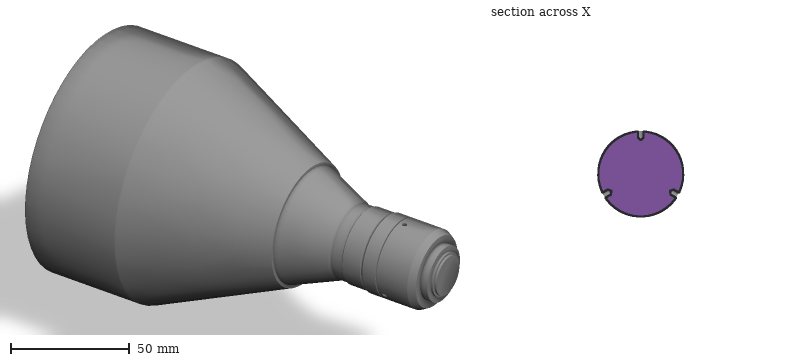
import cadquery as cq

length = 176.7

barrel_diameter = 110.0
barrel_radius = barrel_diameter / 2
barrel_end = 45.6
barrel_chamfer = 0.5
barrel_edge_length = 0.5
barrel_edge_drop = 0.2

step_x = 106.4
step_outer_radius = 28.0
step_inner_radius = 26.5
taper_end = 128.0
taper_end_radius = 17.7

neck_start = 129.0
neck_radius = 17.0
ring_start = 135.0
ring_end = 144.4
ring_radius = 17.5
ring_chamfer = 0.5
housing_start = 145.5
housing_radius = 18.0
housing_end = 171.0
housing_chamfer_length = 3.2
housing_chamfer_depth = 1.8
groove_center = 152.1
groove_width = 0.5
groove_depth = 1.0

flange_end = 174.5
flange_radius = 12.7
collar_end = 175.6
collar_radius = 10.0
tip_radius = 9.0

screw_x = 155.0
screw_diameter = 2.3
screw_depth = 2.7
screw_tip_depth = 1.0
screw_count = 3


def make_body():
    """Revolve the half profile about the X axis."""
    profile = [
        (0, 0),
        (0, barrel_radius - barrel_chamfer),
        (barrel_chamfer, barrel_radius),
        (barrel_end - barrel_edge_length, barrel_radius),
        (barrel_end, barrel_radius - barrel_edge_drop),
        (step_x, step_outer_radius),
        (step_x, step_inner_radius),
        (taper_end, taper_end_radius),
        (neck_start, neck_radius),
        (ring_start - ring_chamfer, neck_radius),
        (ring_start, ring_radius),
        (ring_end - ring_chamfer, ring_radius),
        (ring_end, ring_radius - ring_chamfer),
        (housing_start, housing_radius),
        (housing_end - housing_chamfer_length, housing_radius),
        (housing_end, housing_radius - housing_chamfer_depth),
        (housing_end, flange_radius),
        (flange_end, flange_radius),
        (flange_end, collar_radius),
        (collar_end, collar_radius),
        (collar_end, tip_radius),
        (length, tip_radius),
        (length, 0),
    ]
    return cq.Workplane("XZ").polyline(profile).close().revolve(360, (0, 0, 0), (1, 0, 0))


def make_groove():
    """Ring that cuts the narrow groove around the rear housing."""
    return (
        cq.Workplane("YZ", origin=(groove_center - groove_width / 2, 0, 0))
        .circle(housing_radius + groove_depth)
        .circle(housing_radius - groove_depth)
        .extrude(groove_width)
    )


def make_screw_hole(angle):
    """Blind radial hole with a cone-shaped bottom, turned by angle from +Z."""
    screw_radius = screw_diameter / 2
    floor_z = housing_radius - screw_depth
    half_section = [
        (screw_x, floor_z - screw_tip_depth),
        (screw_x + screw_radius, floor_z),
        (screw_x + screw_radius, housing_radius + screw_depth),
        (screw_x, housing_radius + screw_depth),
    ]
    return (
        cq.Workplane("XZ")
        .polyline(half_section)
        .close()
        .revolve(360, (screw_x, 0, 0), (screw_x, 1, 0))
        .rotate((0, 0, 0), (1, 0, 0), angle)
    )


result = make_body().cut(make_groove())
for index in range(screw_count):
    result = result.cut(make_screw_hole(index * 360 / screw_count))